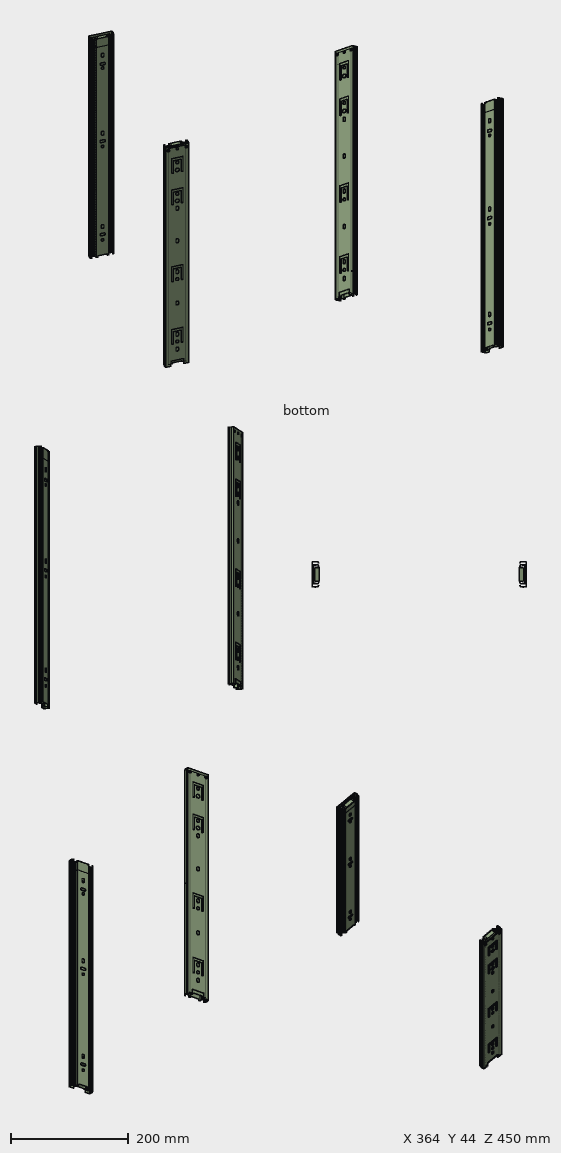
import cadquery as cq

span = 364.0
slide_height = 44.0
slide_depth = 12.5
rail_length = 450.0
sheet = 1.12

race_start = 3.95
race_width = 3.5
race_rise = 0.5
race_middle = race_start + race_width / 2
race_end = race_start + race_width

lip_end = 11.5
lip_run = 1.5
lip_drop = 2.5
lip_start = lip_end - lip_run

outer_web = 0.0
outer_flange = slide_height / 2 - race_rise
middle_web = 2.0
middle_flange = 16.5
middle_setback = 3.5

inner_web = slide_depth
inner_flange = 12.0
inner_mouth = 6.0
inner_setback = 1.0

block_back = 5.0
block_length = 18.0
block_shoulder = 2.5
block_shoulder_drop = 2.0

hole_small = 4.5
hole_medium = 6.0
hole_large = 7.0
slot_width = 5.0
slot_length = 8.0
end_hole_height = 443.2
end_hole_spacing = 16.0
medium_hole_heights = (415.5, 351.0, 176.0, 48.0)
large_hole_heights = (400.0, 336.5)
slot_heights = (321.5, 254.5, 191.2, 127.0, 63.0, 32.5)

tongue_tops = (425.2, 361.0, 203.5, 74.5)
tongue_cut_length = 30.5
tongue_gap = 5.0
tongue_cut_half_width = 10.5
tongue_half_width = 7.0

inner_slot_heights = (413.0, 253.0, 61.5)
cross_slot_heights = (395.0, 236.5, 45.5)
inner_hole_heights = (386.5, 226.0, 34.0)
inner_hole = 5.0
cross_slot_length = 10.0

outer_notch_half_width = 11.5
outer_notch_height = 10.5
web_notch_half_width = 8.5
middle_notch_height = 5.0
inner_notch_height = 3.5


def raced_channel(web, flange, rise, setback):
    """Channel with lipped flanges; a positive rise bulges its raceways outward."""
    floor = flange - sheet
    lip_foot = flange - lip_drop
    inner_lip_start = lip_start - sheet + sheet * lip_run / lip_drop
    return (
        cq.Workplane("XY")
        .workplane(offset=setback)
        .moveTo(web, 0)
        .lineTo(web, floor)
        .radiusArc((web + sheet, flange), sheet)
        .lineTo(race_start, flange)
        .threePointArc((race_middle, flange + rise), (race_end, flange))
        .lineTo(lip_start, flange)
        .lineTo(lip_end, lip_foot)
        .lineTo(lip_end - sheet, lip_foot)
        .lineTo(inner_lip_start, floor)
        .lineTo(race_end, floor)
        .threePointArc((race_middle, floor + rise), (race_start, floor))
        .lineTo(web + sheet, floor)
        .lineTo(web + sheet, 0)
        .mirrorX()
        .extrude(rail_length - 2 * setback)
    )


def cross_box(half_width, bottom, top):
    """Box through the whole depth of the slide, centred on Y = 0."""
    height = top - bottom
    return cq.Workplane("XY").box(4 * slide_depth, 2 * half_width, height).translate(
        (0, 0, bottom + height / 2)
    )


def round_holes(diameter, places):
    """Drills along X at (y, z) places."""
    return (
        cq.Workplane("YZ")
        .pushPoints(places)
        .circle(diameter / 2)
        .extrude(2 * slide_depth, both=True)
    )


def slots(length, width, places, angle):
    """Slot cutters along X at (y, z) places; an angle of 90 stands them upright."""
    return (
        cq.Workplane("YZ")
        .pushPoints(places)
        .slot2D(length, width, angle)
        .extrude(2 * slide_depth, both=True)
    )


def on_centre(heights):
    """Places on the centre line of a web at the given heights."""
    return [(0, height) for height in heights]


def tongue_cut(top):
    """U-shaped cutter whose two legs have round lower ends."""
    leg_width = tongue_cut_half_width - tongue_half_width
    leg_offset = tongue_half_width + leg_width / 2
    leg_bottom = top - tongue_cut_length + leg_width / 2
    cutter = cross_box(tongue_cut_half_width, top - tongue_gap, top)
    for side in (-1, 1):
        leg = cross_box(leg_width / 2, leg_bottom, top).translate((0, side * leg_offset, 0))
        leg_end = round_holes(leg_width, [(side * leg_offset, leg_bottom)])
        cutter = cutter.union(leg).union(leg_end)
    return cutter


def outer_channel():
    channel = raced_channel(outer_web, outer_flange, race_rise, 0)
    end_places = [(y, end_hole_height) for y in (-end_hole_spacing, 0, end_hole_spacing)]
    channel = channel.cut(round_holes(hole_small, end_places))
    channel = channel.cut(round_holes(hole_medium, on_centre(medium_hole_heights)))
    channel = channel.cut(round_holes(hole_large, on_centre(large_hole_heights)))
    channel = channel.cut(slots(slot_length, slot_width, on_centre(slot_heights), 90))
    for top in tongue_tops:
        channel = channel.cut(tongue_cut(top))
    return channel.cut(cross_box(outer_notch_half_width, 0, outer_notch_height))


def intermediate_channel():
    channel = raced_channel(middle_web, middle_flange, -race_rise, middle_setback)
    return channel.cut(cross_box(web_notch_half_width, 0, middle_notch_height))


def inner_channel():
    channel = (
        cq.Workplane("XY")
        .workplane(offset=inner_setback)
        .moveTo(inner_web, 0)
        .lineTo(inner_web, inner_flange - sheet)
        .radiusArc((inner_web - sheet, inner_flange), -sheet)
        .lineTo(inner_mouth, inner_flange)
        .lineTo(inner_mouth, inner_flange - sheet)
        .lineTo(inner_web - sheet, inner_flange - sheet)
        .lineTo(inner_web - sheet, 0)
        .mirrorX()
        .extrude(rail_length - 2 * inner_setback)
    )
    channel = channel.cut(slots(slot_length, slot_width, on_centre(inner_slot_heights), 90))
    channel = channel.cut(slots(cross_slot_length, slot_width, on_centre(cross_slot_heights), 0))
    channel = channel.cut(round_holes(inner_hole, on_centre(inner_hole_heights)))
    return channel.cut(cross_box(web_notch_half_width, 0, inner_notch_height))


def end_block():
    half_width = inner_flange - sheet
    top = rail_length - inner_setback
    shoulder = top - block_shoulder_drop
    bottom = top - block_length
    ridge = half_width - block_shoulder
    return (
        cq.Workplane("YZ")
        .workplane(offset=block_back)
        .polyline([
            (-half_width, bottom),
            (half_width, bottom),
            (half_width, shoulder),
            (ridge, top),
            (-ridge, top),
            (-half_width, shoulder),
        ])
        .close()
        .extrude(inner_web - sheet - block_back)
    )


left_members = [outer_channel(), intermediate_channel(), inner_channel(), end_block()]
bodies = []
for member in left_members:
    left = member.translate((-span / 2, 0, 0))
    right = left.mirror("YZ")
    bodies += [left.val(), right.val()]

result = cq.Compound.makeCompound(bodies)